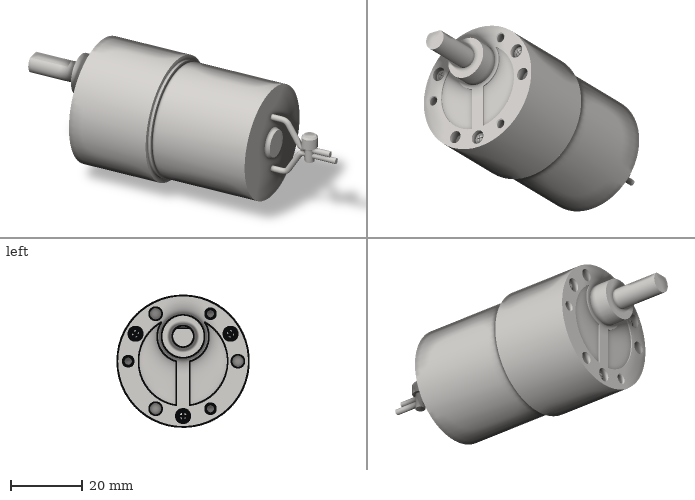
import cadquery as cq


boss_start = 15.0
gearbox_start = 20.8
gearbox_end = 45.0
motor_start = 45.8
motor_end = 75.4
bearing_end = 76.8

gearbox_radius = 37.0 / 2
collar_radius = 17.1
motor_radius = 16.9
motor_fillet = 1.5
bearing_base_radius = 4.6
bearing_tip_radius = 4.0

shaft_height = 7.0
shaft_radius = 6.0 / 2
boss_radius = 6.0
flat_length = 12.0
flat_depth = 0.7

recess_radius = 12.5
recess_depth = 0.4
rim_radius = 7.3
rib_width = 3.7

bolt_circle_radius = 15.4
blank_angles = (60, 180, 300)
blank_radius = 1.8
blank_depth = 2.9
tapped_angles = (0, 120, 240)
tapped_radius = 1.2
tapped_mouth_radius = 1.5
tapped_depth = 3.8
drill_tip_length = 0.7
screw_angles = (30, 150, 270)
counterbore_radius = 2.0
counterbore_depth = 2.1
screw_head_radius = 1.6
screw_rim_height = 0.8
screw_dome_radius = 1.2
screw_dome_rise = 0.5
cross_slot_length = 2.1
cross_slot_width = 0.3
cross_slot_depth = 0.6

wire_radius = 0.9
wire_outlet_height = 8.2
wire_joined_height = 0.84
wire_straight_end = 78.3
upper_bend_x = 80.6
upper_bend_height = 7.2
lower_bend_x = 83.7
lower_bend_height = 2.2
wire_joined_start = 85.6
upper_wire_end = 93.8
lower_wire_end = 95.7

clip_x = 87.3
clip_stem_radius = 2.8 / 2
clip_bottom = -2.8
cap_radius = 2.3
cap_bottom = 1.8
cap_top = 5.4
cap_chamfer = 0.5


def rod(x_start, x_end, radius, z=0):
    """Cylinder along X."""
    return cq.Workplane("YZ", origin=(x_start, 0, z)).circle(radius).extrude(x_end - x_start)


def on_bolt_circle(cutter, angle):
    """Move a cutter from the X axis to the bolt circle; the angle runs from +Y towards +Z."""
    return cutter.translate((0, bolt_circle_radius, 0)).rotate((0, 0, 0), (1, 0, 0), angle)


def make_body():
    can = rod(motor_start, motor_end, motor_radius).faces("<X").edges().fillet(motor_fillet)
    bearing = (
        cq.Workplane("YZ", origin=(motor_end, 0, 0))
        .circle(bearing_base_radius)
        .workplane(offset=bearing_end - motor_end)
        .circle(bearing_tip_radius)
        .loft()
    )
    gearbox = rod(gearbox_start, gearbox_end, gearbox_radius)
    collar = rod(gearbox_end, motor_start, collar_radius)
    return gearbox.union(collar).union(can).union(bearing)


def make_shaft():
    boss = rod(boss_start, gearbox_start, boss_radius, z=shaft_height)
    shaft = rod(0, boss_start, shaft_radius, z=shaft_height)
    flat = cq.Workplane().box(flat_length, 2 * shaft_radius, flat_depth, centered=(False, True, False))
    flat = flat.translate((0, 0, shaft_height + shaft_radius - flat_depth))
    return boss.union(shaft.cut(flat))


def make_face_recess():
    recess_end = gearbox_start + recess_depth
    disc = rod(gearbox_start, recess_end, recess_radius)
    rim = rod(gearbox_start, recess_end, rim_radius, z=shaft_height)
    rib = (
        cq.Workplane("YZ", origin=(gearbox_start, 0, -recess_radius / 2))
        .rect(rib_width, recess_radius)
        .extrude(recess_depth)
    )
    return disc.cut(rim).cut(rib)


def make_blank_hole():
    return rod(gearbox_start, gearbox_start + blank_depth, blank_radius)


def make_tapped_hole():
    """Countersunk hole with a conical drill tip."""
    drill_end = gearbox_start + tapped_depth
    countersink = tapped_mouth_radius - tapped_radius
    outline = [
        (gearbox_start, 0),
        (gearbox_start, tapped_mouth_radius),
        (gearbox_start + countersink, tapped_radius),
        (drill_end, tapped_radius),
        (drill_end + drill_tip_length, 0),
    ]
    return cq.Workplane("XY").polyline(outline).close().revolve(360, (0, 0, 0), (1, 0, 0))


def make_screw_pocket():
    """Counterbore with a flat-rimmed, domed and cross-slotted screw head left standing on its floor."""
    floor = gearbox_start + counterbore_depth
    rim_top = floor - screw_rim_height
    head_top = rim_top - screw_dome_rise
    sphere_radius = (screw_dome_radius**2 + screw_dome_rise**2) / (2 * screw_dome_rise)
    sphere = cq.Workplane("XY").sphere(sphere_radius).translate((head_top + sphere_radius, 0, 0))
    dome = rod(head_top, rim_top, screw_dome_radius).intersect(sphere)
    head = rod(rim_top, floor, screw_head_radius).union(dome)
    for length_y, length_z in (
        (cross_slot_length, cross_slot_width),
        (cross_slot_width, cross_slot_length),
    ):
        slot = cq.Workplane("YZ", origin=(head_top, 0, 0)).rect(length_y, length_z)
        head = head.cut(slot.extrude(cross_slot_depth))
    return rod(gearbox_start, floor, counterbore_radius).cut(head)


def make_wire(side, x_end):
    """Bent wire; side is +1 for the upper one and -1 for the lower one."""
    outlet = (motor_end, side * wire_outlet_height)
    straight_end = (wire_straight_end, side * wire_outlet_height)
    upper_bend = (upper_bend_x, side * upper_bend_height)
    lower_bend = (lower_bend_x, side * lower_bend_height)
    joined = (wire_joined_start, side * wire_joined_height)
    along = (1, 0)
    inward = (lower_bend[0] - upper_bend[0], lower_bend[1] - upper_bend[1])
    path = (
        cq.Workplane("XZ")
        .moveTo(*outlet)
        .lineTo(*straight_end)
        .spline([upper_bend], tangents=[along, inward], includeCurrent=True)
        .lineTo(*lower_bend)
        .spline([joined], tangents=[inward, along], includeCurrent=True)
        .lineTo(x_end, joined[1])
    )
    section = cq.Workplane("YZ", origin=(motor_end, 0, outlet[1])).circle(wire_radius)
    return section.sweep(path)


def make_clip():
    stem = cq.Workplane("XY", origin=(clip_x, 0, clip_bottom)).circle(clip_stem_radius)
    cap = cq.Workplane("XY", origin=(clip_x, 0, cap_bottom)).circle(cap_radius)
    cap = cap.extrude(cap_top - cap_bottom).faces(">Z").edges().chamfer(cap_chamfer)
    return stem.extrude(cap_bottom - clip_bottom).union(cap)


result = make_body().union(make_shaft()).cut(make_face_recess())

for cutter, angles in (
    (make_blank_hole(), blank_angles),
    (make_tapped_hole(), tapped_angles),
    (make_screw_pocket(), screw_angles),
):
    for angle in angles:
        result = result.cut(on_bolt_circle(cutter, angle))

wires = make_wire(1, upper_wire_end).union(make_wire(-1, lower_wire_end))
result = result.union(wires).union(make_clip())